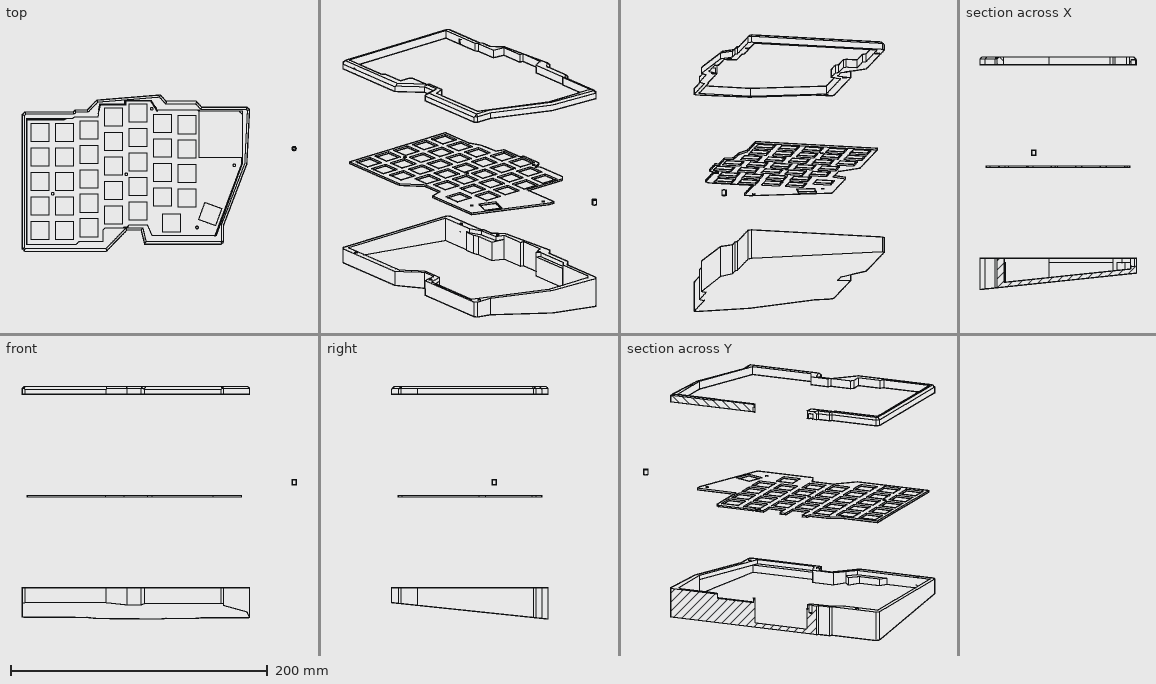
import cadquery as cq
import math


total_length = 213.3
total_height = 181.3
case_depth = 122.0

case_top = 24.5
tilt_angle = 6.0
floor_thickness = 3.8
seat_depth = 3.5

frame_height = 6.5
frame_bottom = total_height - frame_height
narrow_bevel = 1.7
wide_bevel = 2.3

plate_bottom = 95.0
plate_thickness = 1.5
plate_gap = 0.53
key_hole = 14.0
first_column_x = 13.9
last_column_x = 128.2
key_columns = [(16.5, 5), (16.5, 5), (18.5, 5), (28.5, 5), (31.5, 5), (42.5, 4), (41.5, 4)]
key_pitch = (last_column_x - first_column_x) / (len(key_columns) - 1)
thumb_keys = [(116.0, 22.5, 0), (146.3, 29.2, -20)]
controller_corner = (137.5, 73.4)
plate_hole_places = [(23.7, 45.0), (81.0, 60.1), (100.9, 111.1), (165.0, 67.2), (136.0, 18.8)]

screw_diameter = 2.1
screw_depth = 6.5
insert_hole_diameter = 3.2
insert_diameter = 3.5
insert_height = 4.0
insert_y = 80.2
insert_bottom = 104.5
screw_places = [(14.7, 2.8), (96.5, 10.2), (153.5, 12.0), (105.2, 112.8), (56.7, 111.3), (20.0, 105.0)]

outer_outline = [
    (0.0, 2.1), (2.1, 0.0), (65.3, 0.0), (81.5, 16.6), (92.5, 16.6), (95.3, 5.5),
    (154.8, 5.5), (156.8, 7.5), (156.8, 20.5), (175.0, 68.3), (177.0, 110.5), (175.1, 112.5),
    (139.7, 112.5), (135.2, 117.3), (111.8, 117.3), (107.5, 122.0), (58.0, 118.0), (50.5, 110.3),
    (41.2, 110.3), (39.7, 108.8), (2.1, 108.8), (0.0, 106.6),
]
wide_bevel_edges = (1, 5, 13)

opening_outline = [
    (3.2, 5.5), (42.0, 5.5), (44.4, 7.9), (62.7, 7.9), (62.7, 16.6), (64.6, 18.5),
    (81.5, 18.5), (83.0, 20.7), (97.5, 20.7), (101.0, 12.4), (151.0, 12.4), (171.3, 68.3),
    (171.3, 109.5), (137.8, 109.5), (137.8, 110.0), (105.0, 110.0), (100.2, 117.7), (79.5, 117.7),
    (79.5, 114.8), (60.1, 114.8), (59.0, 105.0), (41.0, 105.0), (38.8, 103.5), (3.2, 103.5),
]
cavity_outline = [
    (3.2, 4.7), (39.9, 4.7), (44.2, 9.0), (61.5, 9.0), (67.8, 15.4), (71.9, 11.3),
    (79.3, 18.5), (97.0, 18.5), (99.2, 12.5), (150.5, 12.5), (171.3, 68.3), (171.3, 106.9),
    (168.7, 109.5), (137.8, 109.5), (137.8, 110.0), (105.0, 110.0), (100.2, 117.7), (80.5, 117.7), (80.5, 114.8),
    (60.5, 114.8), (59.0, 103.5), (42.7, 103.5), (38.4, 102.0), (30.3, 102.0), (28.5, 103.0), (3.2, 103.0),
]
seat_outline = [
    (3.2, 4.7), (65.0, 4.7), (79.3, 18.5), (97.0, 18.5), (100.7, 7.9), (148.9, 7.9),
    (171.3, 68.3), (171.3, 106.9), (168.7, 109.5), (138.2, 109.5), (134.5, 113.0), (107.0, 113.0), (105.0, 110.0),
    (100.2, 117.7), (80.5, 117.7), (80.5, 114.8), (60.5, 114.8), (58.7, 108.1), (42.0, 107.3),
    (32.2, 103.0), (3.2, 103.0),
]


def inset(points, distances):
    """Move each edge of a counter-clockwise outline inward by its own distance."""
    lines = []
    for index, (x, y) in enumerate(points):
        next_x, next_y = points[(index + 1) % len(points)]
        length = math.hypot(next_x - x, next_y - y)
        normal_x = (y - next_y) / length
        normal_y = (next_x - x) / length
        lines.append((normal_x, normal_y, normal_x * x + normal_y * y + distances[index]))
    corners = []
    for index, (c, d, second) in enumerate(lines):
        a, b, first = lines[index - 1]
        determinant = a * d - b * c
        corners.append(((first * d - b * second) / determinant, (a * second - first * c) / determinant))
    return corners


def prism(points, bottom, height):
    return cq.Workplane("XY").workplane(offset=bottom).polyline(points).close().extrude(height)


def cylinders(places, diameter, bottom, height):
    return cq.Workplane("XY").workplane(offset=bottom).pushPoints(places).circle(diameter / 2).extrude(height)


def stacked_solid(sections):
    """Solid through polygons, given as (height, points), joined corner to corner by flat faces."""
    rings = [[cq.Vector(x, y, height) for x, y in points] for height, points in sections]
    loops = [rings[0], rings[-1]]
    for lower, upper in zip(rings, rings[1:]):
        for index in range(len(lower)):
            loops.append([lower[index - 1], lower[index], upper[index], upper[index - 1]])
    faces = [cq.Face.makeFromWires(cq.Wire.makePolygon(loop, close=True)) for loop in loops]
    return cq.Workplane(cq.Solid.makeSolid(cq.Shell.makeShell(faces))).clean()


def make_case():
    """Tub with a tilted underside, a parallel floor and a stepped seat for the plate."""
    drop = case_depth * math.tan(math.radians(tilt_angle))

    def above_slope(lift):
        profile = [(0, drop + lift), (case_depth, lift), (case_depth, case_top), (0, case_top)]
        return cq.Workplane("YZ").polyline(profile).close().extrude(total_length)

    body = prism(outer_outline, 0, case_top).intersect(above_slope(0))
    cavity = prism(cavity_outline, 0, case_top).intersect(above_slope(floor_thickness))
    seat = prism(seat_outline, case_top - seat_depth, seat_depth)
    screws = cylinders(screw_places, screw_diameter, case_top - screw_depth, screw_depth)
    return body.cut(cavity).cut(seat).cut(screws)


def make_frame():
    """Ring with a bevelled top outer edge and blind insert holes in its underside."""
    bevels = [wide_bevel if i in wide_bevel_edges else narrow_bevel for i in range(len(outer_outline))]

    def section(drop):
        return total_height - drop, inset(outer_outline, [max(0, bevel - drop) for bevel in bevels])

    body = stacked_solid([section(drop) for drop in (frame_height, wide_bevel, narrow_bevel, 0)])
    opening = prism(opening_outline, frame_bottom, frame_height)
    insert_holes = cylinders(screw_places, insert_hole_diameter, frame_bottom, insert_height)
    return body.cut(opening).cut(insert_holes)


def key_hole_cutter(x, y, angle=0):
    cutter = cq.Workplane("XY").rect(key_hole, key_hole).extrude(plate_thickness)
    return cutter.rotate((0, 0, 0), (0, 0, 1), angle).translate((x, y, plate_bottom))


def make_plate():
    """Flat plate with key holes, screw holes and a cut-away corner for the controller."""
    outline = inset(seat_outline, [plate_gap] * len(seat_outline))
    plate = prism(outline, plate_bottom, plate_thickness)
    for column, (front_y, count) in enumerate(key_columns):
        for row in range(count):
            x = first_column_x + column * key_pitch
            plate = plate.cut(key_hole_cutter(x, front_y + row * key_pitch))
    for x, y, angle in thumb_keys:
        plate = plate.cut(key_hole_cutter(x, y, angle))
    corner_x, corner_y = controller_corner
    corner = cq.Workplane("XY").box(total_length, case_depth, plate_thickness, centered=False)
    plate = plate.cut(corner.translate((corner_x, corner_y, plate_bottom)))
    return plate.cut(cylinders(plate_hole_places, screw_diameter, plate_bottom, plate_thickness))


def make_insert():
    """Tubular threaded insert standing beside the stack."""
    center = [(total_length - insert_diameter / 2, insert_y)]
    bore = cylinders(center, screw_diameter, insert_bottom, insert_height)
    return cylinders(center, insert_diameter, insert_bottom, insert_height).cut(bore)


case = make_case()
frame = make_frame()
plate = make_plate()
insert = make_insert()

bodies = [case, plate, insert, frame]
result = cq.Compound.makeCompound([body.solids().val() for body in bodies])